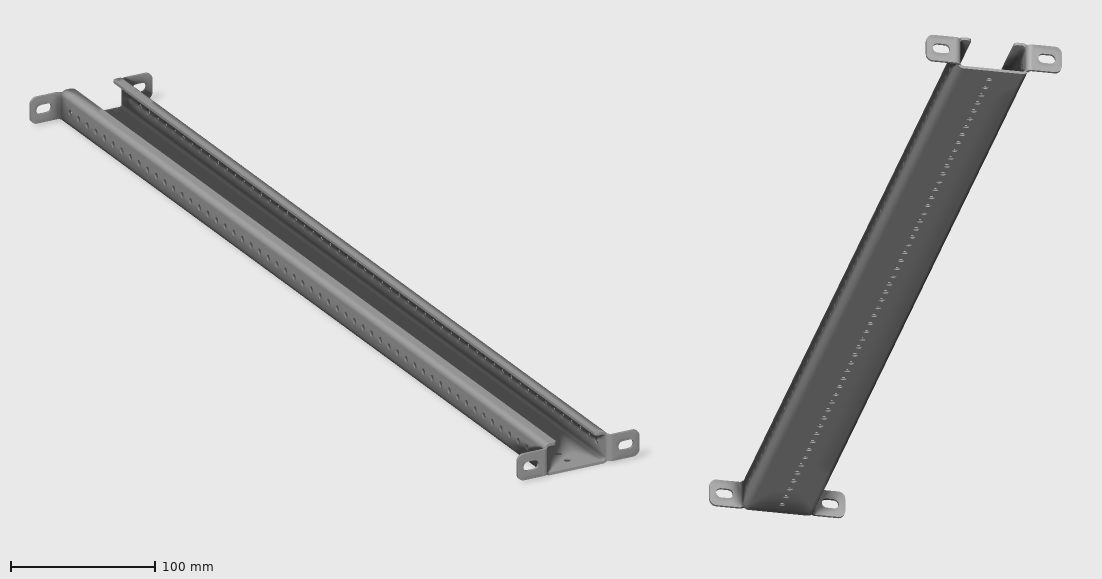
import cadquery as cq

length = 708.0
flange_span = 96.0
height = 24.0

thickness = 2.0
bend_outer = 4.0
bend_inner = bend_outer - thickness

rail_width = 50.0
lip_opening = 30.5
lip_corner = 3.0
end_setback = 3.5

flange_height = 20.0
flange_corner = 5.0
slot_length = 12.0
slot_width = 7.0
slot_center_y = 37.5

hole_diameter = 4.7
hole_count = 55
hole_row_length = 675.0
hole_pitch = hole_row_length / (hole_count - 1)

end_x = length / 2
wall_outer_y = rail_width / 2
wall_inner_y = wall_outer_y - thickness


def make_rail():
    """C-shaped rail along X, open at the top between two lips with rounded corners."""
    rail_length = length - 2 * end_setback
    outside = cq.Workplane("XY").box(rail_length, rail_width, height)
    outside = outside.edges("|X").fillet(bend_outer)
    inside = cq.Workplane("XY").box(rail_length, 2 * wall_inner_y, height - 2 * thickness)
    inside = inside.edges("|X").fillet(bend_inner)

    opening = cq.Workplane("XY").box(rail_length, lip_opening, height / 2, centered=(True, True, False))
    rail = outside.cut(inside).cut(opening)
    lip_limit_y = wall_inner_y - bend_inner
    lip_corners = cq.selectors.BoxSelector(
        (-end_x, -lip_limit_y, 0),
        (end_x, lip_limit_y, height / 2),
    )
    return rail.edges("|Z").edges(lip_corners).fillet(lip_corner)


def make_flange():
    """Wall end at +X, +Y: bent outward into a slotted flange in the YZ plane."""
    bend_x = end_x - bend_outer
    bend_y = wall_inner_y + bend_outer
    flange = (
        cq.Workplane("XY")
        .workplane(offset=-flange_height / 2)
        .moveTo(bend_x, wall_inner_y)
        .radiusArc((end_x, bend_y), -bend_outer)
        .lineTo(end_x, flange_span / 2)
        .lineTo(end_x - thickness, flange_span / 2)
        .lineTo(end_x - thickness, bend_y)
        .radiusArc((bend_x, wall_outer_y), bend_inner)
        .close()
        .extrude(flange_height)
    )
    flange = flange.faces(">Y").edges("|X").fillet(flange_corner)
    slot = (
        cq.Workplane("YZ")
        .center(slot_center_y, 0)
        .slot2D(slot_length, slot_width)
        .extrude(length)
    )
    return flange.cut(slot)


def hole_row(plane, reach):
    """Row of round cutters spaced along X, reaching both ways from the middle plane."""
    return (
        cq.Workplane(plane)
        .rarray(hole_pitch, 7, hole_count, 1)
        .circle(hole_diameter / 2)
        .extrude(reach, both=True)
    )


flange = make_flange()
flange_pair = flange.union(flange.mirror("XZ"))

result = make_rail().union(flange_pair).union(flange_pair.mirror("YZ"))
result = result.cut(hole_row("XZ", rail_width))
result = result.cut(hole_row("XY", height))